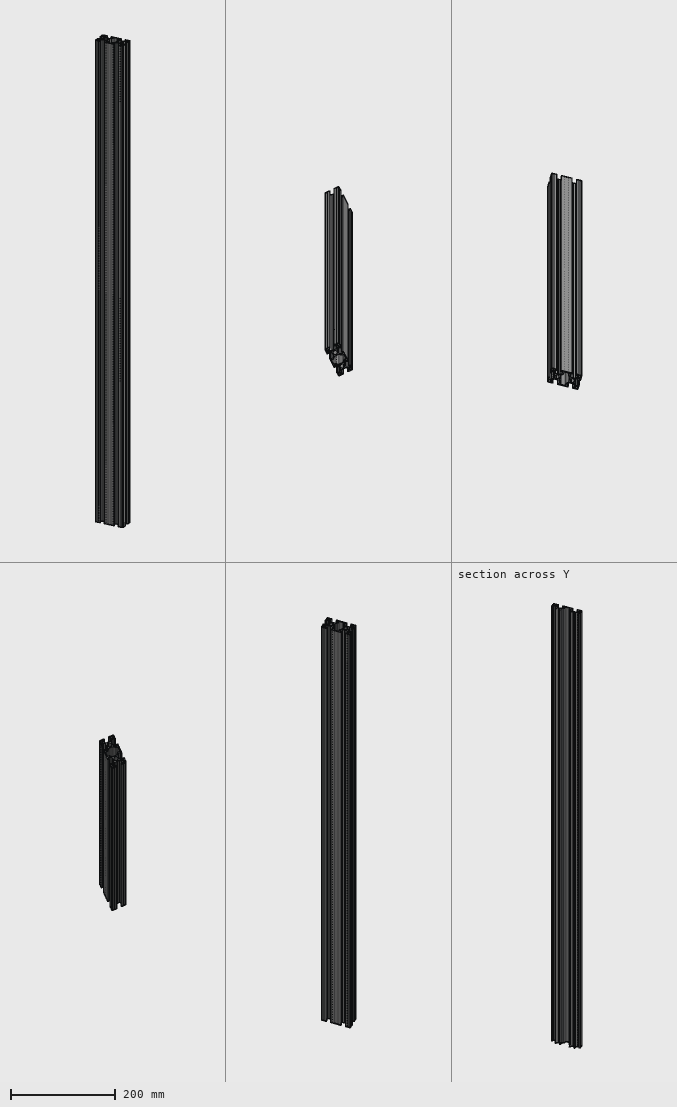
import cadquery as cq

length = 1000.0
cell = 30.0
corner_radius = 2.0

slot_opening = 9.0
mouth_radius = 0.4
lip = 2.5
slot_width = 15.0
slot_depth = 9.0
floor_width = 9.0

groove_width = 1.5
groove_depth = 0.5

skin = 2.0
hollow_neck = 9.4
hollow_radius = 1.0

bore_diameter = 8.0
corner_bore = 4.0
corner_wall = 1.2

half_cell = cell / 2
floor_y = half_cell - slot_depth


def mirrored(points):
    """The points mirrored in the Y axis, in reverse order."""
    return [(-x, y) for x, y in reversed(points)]


def body():
    block = cq.Workplane("XY").rect(2 * cell, cell).extrude(length)
    return block.edges("|Z").fillet(corner_radius)


def slot():
    """T-slot in the +Y face of a cell centred on the origin, with 45 degree flanks."""
    mouth = slot_opening / 2
    under_lip = half_cell - lip
    flank_y = floor_y + (slot_width - floor_width) / 2
    right_wall = [
        (mouth, under_lip),
        (slot_width / 2, under_lip),
        (slot_width / 2, flank_y),
        (floor_width / 2, floor_y),
        (groove_width / 2, floor_y),
    ]
    groove_bottom = (0, floor_y - groove_depth)
    left_mouth = (-mouth, half_cell - mouth_radius)
    walls = right_wall + [groove_bottom] + mirrored(right_wall) + [left_mouth]
    return (
        cq.Workplane("XY")
        .moveTo(mouth + mouth_radius, half_cell)
        .radiusArc((mouth, half_cell - mouth_radius), -mouth_radius)
        .polyline(walls, includeCurrent=True)
        .radiusArc((-mouth - mouth_radius, half_cell), -mouth_radius)
        .close()
        .extrude(length)
    )


def hollow():
    """Cavity between the cells, widest at mid-height, with a neck towards each skin."""
    waist_x = half_cell - floor_y
    waist_y = floor_width / 2
    neck_x = hollow_neck / 2
    neck_y = waist_y + waist_x - neck_x
    upper_right = [(waist_x, waist_y), (neck_x, neck_y), (neck_x, half_cell - skin)]
    upper = upper_right + mirrored(upper_right)
    lower = [(-x, -y) for x, y in upper]
    cavity = cq.Workplane("XY").polyline(upper + lower).close().extrude(length)
    return cavity.edges("|Z").fillet(hollow_radius)


def cell_bores():
    return cq.Workplane("XY").rarray(cell, 10, 2, 1).circle(bore_diameter / 2).extrude(length)


def corner_bores():
    inset = corner_wall + corner_bore / 2
    spacing_x = 2 * (cell - inset)
    spacing_y = cell - 2 * inset
    centres = cq.Workplane("XY").rarray(spacing_x, spacing_y, 2, 2)
    return centres.rect(corner_bore, corner_bore).extrude(length)


result = body().cut(hollow()).cut(cell_bores()).cut(corner_bores())

for side in (-1, 1):
    for angle in (0, 180, -90 * side):
        cutter = slot().rotate((0, 0, 0), (0, 0, 1), angle)
        result = result.cut(cutter.translate((side * half_cell, 0, 0)))